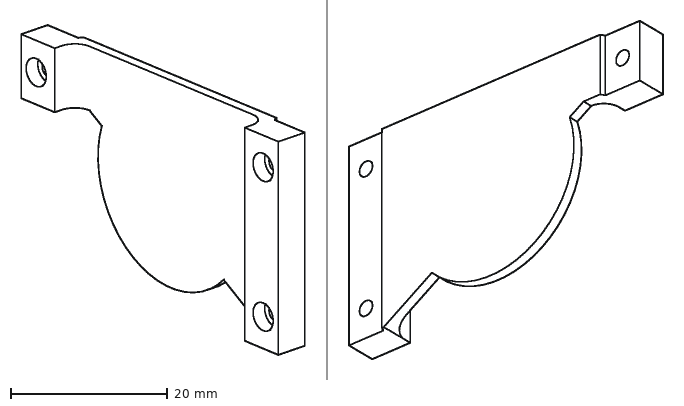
import cadquery as cq

length = 48.95
height = 29.45
depth = 5.25

block_width = 6.4
plate_thickness = 1.5
inner_radius = 2.5
back_step = 0.65
step_foot_inset = 5.75
step_top_inset = 6.1

short_block_height = 8.85
disc_radius = 13.95

hole_diameter = 2.2
counterbore_diameter = 3.8
counterbore_depth = 2.0
hole_side_inset = 2.9
hole_end_inset = 4.4

half_length = length / 2
half_height = height / 2
block_inner_x = half_length - block_width
fillet_end_x = block_inner_x - inner_radius
plate_front_y = depth - plate_thickness
block_back_y = depth - back_step


def make_section():
    """Bridge section in XY, extruded over the full height."""
    step_foot_x = half_length - step_foot_inset
    step_top_x = half_length - step_top_inset
    half_section = (
        cq.Workplane("XY", origin=(0, 0, -half_height))
        .moveTo(0, plate_front_y)
        .lineTo(fillet_end_x, plate_front_y)
        .radiusArc((block_inner_x, plate_front_y - inner_radius), inner_radius)
        .lineTo(block_inner_x, 0)
        .lineTo(half_length, 0)
        .lineTo(half_length, block_back_y)
        .lineTo(step_foot_x, block_back_y)
        .lineTo(step_top_x, depth)
        .lineTo(0, depth)
        .close()
        .extrude(height)
    )
    return half_section.union(half_section.mirror("YZ"))


def make_outline():
    """Front silhouette: a plate with a sloping lower edge, joined to a central disc."""
    short_block_bottom = half_height - short_block_height
    front = cq.Workplane("XZ", origin=(0, depth, 0))
    sloped_plate = (
        front.moveTo(-half_length, half_height)
        .lineTo(half_length, half_height)
        .lineTo(half_length, -half_height)
        .lineTo(block_inner_x, -half_height)
        .lineTo(-fillet_end_x, short_block_bottom)
        .lineTo(-half_length, short_block_bottom)
        .close()
        .extrude(depth)
    )
    disc = front.circle(disc_radius).extrude(plate_thickness)
    return sloped_plate.union(disc)


def cut_screw_holes(body):
    """Two holes in the tall block and one in the short block, counterbored from the front."""
    hole_x = half_length - hole_side_inset
    hole_z = half_height - hole_end_inset
    centres = [(-hole_x, hole_z), (hole_x, hole_z), (hole_x, -hole_z)]
    return (
        body.copyWorkplane(cq.Workplane("XZ"))
        .pushPoints(centres)
        .cboreHole(hole_diameter, counterbore_diameter, counterbore_depth)
    )


result = cut_screw_holes(make_section().intersect(make_outline()))